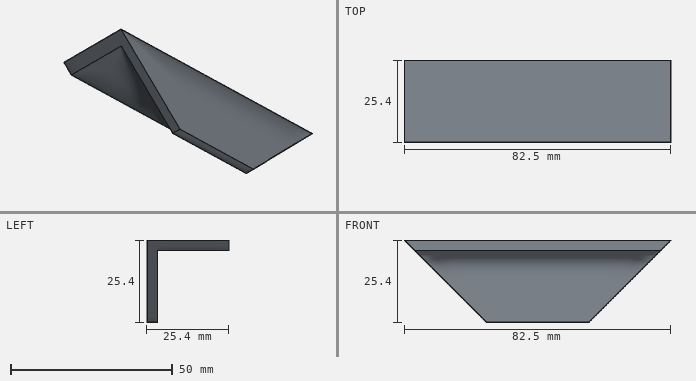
import cadquery as cq

length = 82.55
leg = 25.4
thickness = 3.2
bottom_length = length - 2 * leg

section = [
    (0, 0),
    (0, -thickness),
    (leg - thickness, -thickness),
    (leg - thickness, -leg),
    (leg, -leg),
    (leg, 0),
]
angle_bar = cq.Workplane("YZ").polyline(section).close().extrude(length / 2, both=True)

mitre_outline = [
    (-length / 2, 0),
    (length / 2, 0),
    (bottom_length / 2, -leg),
    (-bottom_length / 2, -leg),
]
mitre_envelope = cq.Workplane("XZ").polyline(mitre_outline).close().extrude(-leg)

result = angle_bar.intersect(mitre_envelope)